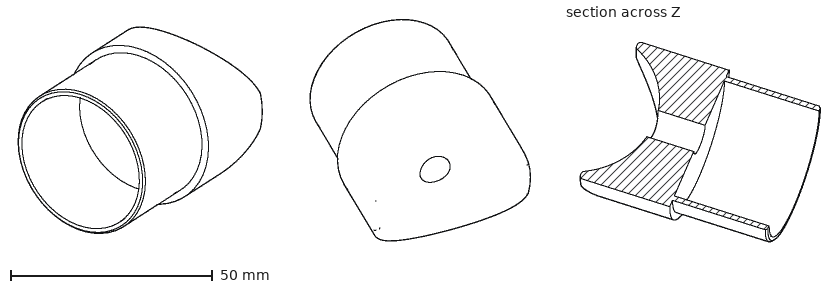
import cadquery as cq

total_length = 49.0
collar_diameter = 42.4
spigot_diameter = 38.45
spigot_length = 25.0
spigot_chamfer = 0.5
bore_diameter = 35.5
bore_depth = spigot_length
screw_hole_diameter = 8.0
saddle_radius = collar_diameter / 2
saddle_depth = 11.95
saddle_edge_radius = 1.0

front_y = -total_length / 2
shoulder_y = front_y + spigot_length
back_y = front_y + total_length
saddle_axis_y = back_y - saddle_depth + saddle_radius


def cylinder_along_y(diameter, start_y, length):
    plane = cq.Plane(origin=(0, start_y, 0), xDir=(0, 0, 1), normal=(0, 1, 0))
    return cq.Workplane(plane).circle(diameter / 2).extrude(length)


def make_collar():
    """Collar with a vertical cylindrical saddle and rounded saddle edges."""
    collar = cylinder_along_y(collar_diameter, shoulder_y, total_length - spigot_length)
    saddle = (
        cq.Workplane("XY")
        .center(0, saddle_axis_y)
        .circle(saddle_radius)
        .extrude(collar_diameter, both=True)
    )
    saddled = collar.cut(saddle)
    saddle_edges = saddled.faces(">Y").edges().vals() + saddled.edges("%ELLIPSE").vals()
    return saddled.newObject(saddle_edges).fillet(saddle_edge_radius)


def make_spigot():
    spigot = cylinder_along_y(spigot_diameter, front_y, spigot_length)
    return spigot.faces("<Y").chamfer(spigot_chamfer)


body = make_collar().union(make_spigot())
bore = cylinder_along_y(bore_diameter, front_y, bore_depth)
screw_hole = cylinder_along_y(screw_hole_diameter, front_y, total_length)
result = body.cut(bore).cut(screw_hole)